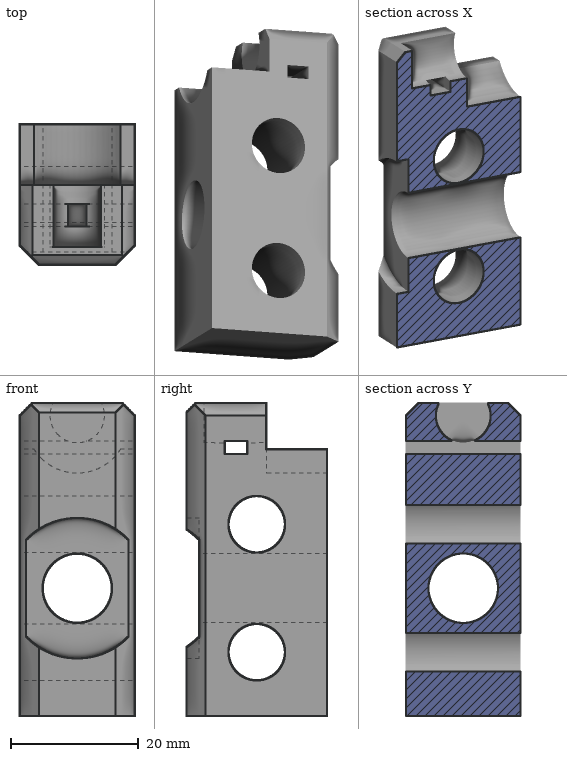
import cadquery as cq

WIDTH = 18.0
DEPTH = 22.0
HEIGHT = 49.0
HALF_WIDTH = WIDTH / 2

FRONT_EDGE_BEVEL = 3.0
TOP_SIDE_BEVEL = 2.0
TOP_FRONT_BEVEL = 1.5

SHELF_Y = 12.5
SHELF_Z = 41.75

NARROW_CHANNEL_AXIS_Z = 47.0
NARROW_CHANNEL_DIAMETER = 8.5
NARROW_CHANNEL_START_Y = 2.75
WIDE_CHANNEL_AXIS_Z = 46.0
WIDE_CHANNEL_DIAMETER = 16.0

SLOT_START_Y = 6.0
SLOT_LENGTH = 3.5
SLOT_BOTTOM_Z = 41.0
SLOT_HEIGHT = 2.0

MAIN_HOLE_DIAMETER = 10.8
MAIN_HOLE_Z = 20.0
SEAT_DIAMETER = 22.0
SEAT_DEPTH = 2.0

CROSS_HOLE_DIAMETER = 8.8
CROSS_HOLE_SPACING = 20.0
CROSS_HOLE_Y = DEPTH / 2


def box_between(x_range, y_range, z_range):
    """Box spanning the given (low, high) ranges."""
    size = [high - low for low, high in (x_range, y_range, z_range)]
    corner = (x_range[0], y_range[0], z_range[0])
    return cq.Workplane("XY").box(*size, centered=False).translate(corner)


def cylinder_along_y(diameter, z, start_y, end_y):
    """Cylinder on the centre plane X = 0, running from start_y to end_y."""
    axis_plane = cq.Workplane("XZ", origin=(0, start_y, z))
    return axis_plane.circle(diameter / 2).extrude(start_y - end_y)


def cylinder_along_x(diameter, y, z):
    """Cylinder running across the full width of the block."""
    axis_plane = cq.Workplane("YZ", origin=(-HALF_WIDTH, y, z))
    return axis_plane.circle(diameter / 2).extrude(WIDTH)


def bevelled_block():
    """Block with bevelled front vertical edges and bevelled top edges."""
    plan = (
        cq.Workplane("XY")
        .rect(WIDTH, DEPTH)
        .extrude(HEIGHT)
        .translate((0, DEPTH / 2, 0))
        .edges("|Z and <Y")
        .chamfer(FRONT_EDGE_BEVEL)
    )
    front_profile = (
        cq.Workplane("XZ")
        .moveTo(-HALF_WIDTH, 0)
        .lineTo(HALF_WIDTH, 0)
        .lineTo(HALF_WIDTH, HEIGHT - TOP_SIDE_BEVEL)
        .lineTo(HALF_WIDTH - TOP_SIDE_BEVEL, HEIGHT)
        .lineTo(TOP_SIDE_BEVEL - HALF_WIDTH, HEIGHT)
        .lineTo(-HALF_WIDTH, HEIGHT - TOP_SIDE_BEVEL)
        .close()
        .extrude(-DEPTH)
    )
    front_bevel = (
        cq.Workplane("YZ")
        .moveTo(0, HEIGHT - TOP_FRONT_BEVEL)
        .lineTo(TOP_FRONT_BEVEL, HEIGHT)
        .lineTo(0, HEIGHT)
        .close()
        .extrude(HALF_WIDTH, both=True)
    )
    return plan.intersect(front_profile).cut(front_bevel)


def cut_shelf(body):
    """Lower the rear of the block to the shelf height."""
    return body.cut(box_between((-HALF_WIDTH, HALF_WIDTH), (SHELF_Y, DEPTH), (SHELF_Z, HEIGHT)))


def cut_channels(body):
    """Cut the narrow channel in the head and the wide one in the shelf."""
    narrow = cylinder_along_y(
        NARROW_CHANNEL_DIAMETER, NARROW_CHANNEL_AXIS_Z, NARROW_CHANNEL_START_Y, SHELF_Y
    )
    wide = cylinder_along_y(WIDE_CHANNEL_DIAMETER, WIDE_CHANNEL_AXIS_Z, SHELF_Y, DEPTH)
    return body.cut(narrow).cut(wide)


def cut_slot(body):
    """Cut the rectangular slot under the narrow channel."""
    slot = box_between(
        (-HALF_WIDTH, HALF_WIDTH),
        (SLOT_START_Y, SLOT_START_Y + SLOT_LENGTH),
        (SLOT_BOTTOM_Z, SLOT_BOTTOM_Z + SLOT_HEIGHT),
    )
    return body.cut(slot)


def cut_main_hole(body):
    """Cut the through hole along Y and its front seat."""
    hole = cylinder_along_y(MAIN_HOLE_DIAMETER, MAIN_HOLE_Z, 0, DEPTH)
    seat = cylinder_along_y(SEAT_DIAMETER, MAIN_HOLE_Z, 0, SEAT_DEPTH)
    return body.cut(hole).cut(seat)


def cut_cross_holes(body):
    """Cut one cross hole below and one above the main hole."""
    for side in (-1, 1):
        hole_z = MAIN_HOLE_Z + side * CROSS_HOLE_SPACING / 2
        body = body.cut(cylinder_along_x(CROSS_HOLE_DIAMETER, CROSS_HOLE_Y, hole_z))
    return body


block = bevelled_block()
block = cut_shelf(block)
block = cut_channels(block)
block = cut_slot(block)
block = cut_main_hole(block)
result = cut_cross_holes(block)